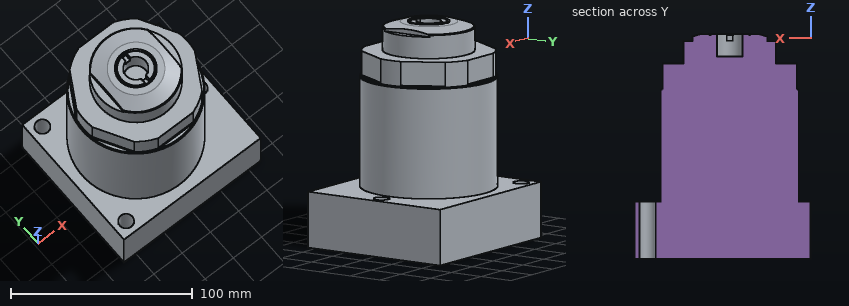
import cadquery as cq

plate_depth = 88.9
plate_length = 96.9
plate_height = 31.4
plate_left = -plate_depth / 2
plate_hole_diameter = 8.8
corner_hole_offset = 36.5
side_hole_x = 45.2

body_radius = 38.0
body_top = 93.5
body_chamfer = 0.6
nut_top = 107.5
nut_across_flats = 69.8
nut_corner_radius = 37.0
nut_flat_count = 6
collar_margin = 0.4
collar_height = 0.6

cap_radius = 25.5
cap_top = 123.8
cone_top_radius = 15.8
cone_drop = 2.7
rim_chamfer = 0.5
cap_across_flats = 41.2
flat_floor = 119.7

screw_radius = 10.9
groove_outer_width = 0.7
groove_inner_width = 0.6
groove_depth = 0.7
screw_top = cap_top
screw_bore_radius = 6.9
screw_bore_depth = 12.4
slot_width = 3.3
slot_depth = 3.7


def cylinder(radius, bottom, top):
    return cq.Workplane("XY").workplane(offset=bottom).circle(radius).extrude(top - bottom)


def rounded_hexagon(across_flats, bottom, top):
    """Hexagon with flats facing +Y and -Y, its corners turned to the nut corner radius."""
    prism = cylinder(nut_corner_radius, bottom, top)
    flat_span = 2 * nut_corner_radius
    for index in range(nut_flat_count):
        cutter = (
            cq.Workplane("XY")
            .workplane(offset=bottom)
            .center(0, across_flats / 2 + flat_span / 2)
            .rect(flat_span, flat_span)
            .extrude(top - bottom)
            .rotate((0, 0, 0), (0, 0, 1), index * 360 / nut_flat_count)
        )
        prism = prism.cut(cutter)
    return prism


def make_plate():
    plate = cq.Workplane("XY").box(plate_length, plate_depth, plate_height, centered=(False, True, False))
    plate = plate.translate((plate_left, 0, 0))
    hole_points = [
        (-corner_hole_offset, corner_hole_offset),
        (-corner_hole_offset, -corner_hole_offset),
        (side_hole_x, 0),
    ]
    holes = cq.Workplane("XY").pushPoints(hole_points).circle(plate_hole_diameter / 2).extrude(plate_height)
    return plate.cut(holes)


def make_body():
    body = cylinder(body_radius, plate_height, body_top).faces(">Z").chamfer(body_chamfer)
    collar = rounded_hexagon(nut_across_flats + 2 * collar_margin, body_top, body_top + collar_height)
    nut = rounded_hexagon(nut_across_flats, body_top, nut_top)
    return body.union(collar).union(nut)


def make_cap():
    rim_top = cap_top - cone_drop
    cap = (
        cq.Workplane("XZ")
        .moveTo(0, nut_top)
        .lineTo(cap_radius, nut_top)
        .lineTo(cap_radius, rim_top - rim_chamfer)
        .lineTo(cap_radius - rim_chamfer, rim_top)
        .lineTo(cone_top_radius, cap_top)
        .lineTo(0, cap_top)
        .close()
        .revolve(360, (0, 0, 0), (0, 1, 0))
    )
    for side in (-1, 1):
        flat_cut = (
            cq.Workplane("XY")
            .workplane(offset=flat_floor)
            .center(side * (cap_across_flats / 2 + cap_radius / 2), 0)
            .rect(cap_radius, 2 * cap_radius)
            .extrude(cap_top - flat_floor)
        )
        cap = cap.cut(flat_cut)
    return cap


def make_screw_groove():
    return (
        cq.Workplane("XZ")
        .moveTo(screw_radius - groove_inner_width, screw_top)
        .lineTo(screw_radius, screw_top - groove_depth)
        .lineTo(screw_radius + groove_outer_width, screw_top)
        .close()
        .revolve(360, (0, 0, 0), (0, 1, 0))
    )


def make_screw_drive():
    bore = cylinder(screw_bore_radius, screw_top - screw_bore_depth, screw_top)
    slot = (
        cq.Workplane("XY")
        .workplane(offset=screw_top - slot_depth)
        .rect(slot_width, 2 * screw_radius)
        .extrude(slot_depth)
    )
    slot = slot.intersect(cylinder(screw_radius, screw_top - slot_depth, screw_top))
    return bore.union(slot)


result = make_plate().union(make_body()).union(make_cap())
result = result.cut(make_screw_groove()).cut(make_screw_drive())